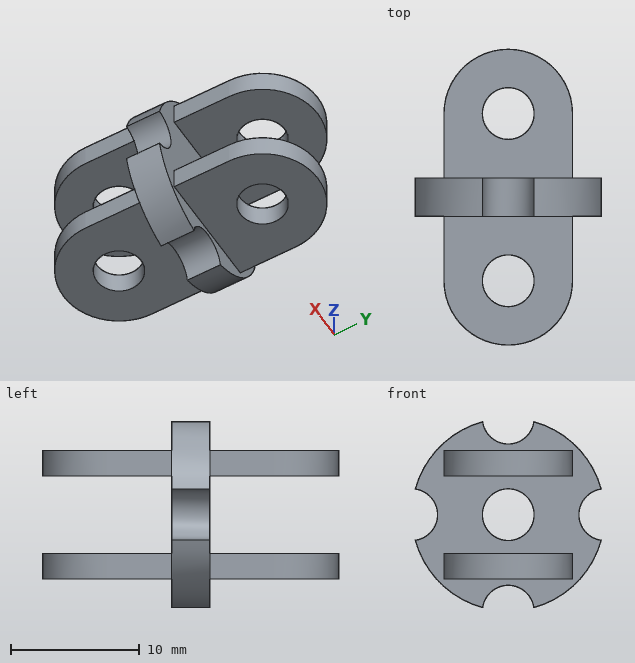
import cadquery as cq

link_length = 23.0
link_width = 10.0
link_thickness = 2.0
link_gap = 6.0
disc_diameter = 15.0
disc_thickness = 3.0
hole_diameter = 4.0

pin_spacing = link_length - link_width
disc_radius = disc_diameter / 2
link_offset = (link_gap + link_thickness) / 2


def make_disc():
    """Disc along Y with a central bore and four notches centred on its rim."""
    disc = cq.Workplane("XZ").circle(disc_radius).extrude(disc_thickness / 2, both=True)
    bore = (
        cq.Workplane("XZ")
        .circle(hole_diameter / 2)
        .extrude(disc_thickness, both=True)
    )
    notches = (
        cq.Workplane("XZ")
        .polarArray(disc_radius, 0, 360, 4)
        .circle(hole_diameter / 2)
        .extrude(disc_thickness, both=True)
    )
    return disc.cut(bore).cut(notches)


def make_link(center_z):
    """Round-ended flat link along Y with a pin hole at each end."""
    return (
        cq.Workplane("XY")
        .workplane(offset=center_z)
        .slot2D(link_length, link_width, 90)
        .extrude(link_thickness / 2, both=True)
        .faces(">Z")
        .workplane(origin=(0, 0, center_z))
        .pushPoints([(0, pin_spacing / 2), (0, -pin_spacing / 2)])
        .hole(hole_diameter)
    )


result = make_disc().union(make_link(link_offset)).union(make_link(-link_offset))